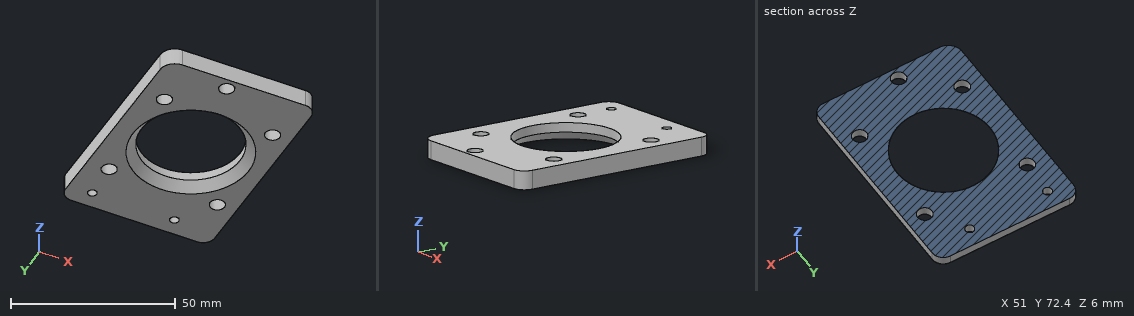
import cadquery as cq

width = 51.01
length = 72.37
thickness = 6.0
left_edge = -26.06
front_edge = -35.5
corner_radius = 4.0
front_left_corner_radius = 5.0

bore_diameter = 33.47
bore_chamfer = 3.0
large_hole_diameter = 4.9
small_hole_diameter = 2.9
mount_spacing = 36.95
front_hole_position = (-3.9, -31.6)
small_hole_y = 30.8
small_hole_left_x = -17.96
small_hole_spacing = 28.05


def make_plate():
    plate = cq.Workplane("XY").box(width, length, thickness, centered=False)
    plate = plate.translate((left_edge, front_edge, 0))
    plate = plate.edges("|Z").edges("<X and <Y").fillet(front_left_corner_radius)
    return plate.edges("|Z").edges(">X or >Y").fillet(corner_radius)


def drill(body, diameter, positions):
    cutter = cq.Workplane("XY").pushPoints(positions).circle(diameter / 2).extrude(thickness)
    return body.cut(cutter)


def countersink_bore(body):
    bore_radius = bore_diameter / 2
    cone = cq.Solid.makeCone(bore_radius + bore_chamfer, bore_radius, bore_chamfer)
    return body.cut(cq.Workplane(cone))


half_spacing = mount_spacing / 2
mount_positions = [(x, y) for x in (-half_spacing, half_spacing) for y in (-half_spacing, half_spacing)]
small_hole_positions = [
    (small_hole_left_x, small_hole_y),
    (small_hole_left_x + small_hole_spacing, small_hole_y),
]

result = make_plate()
result = drill(result, bore_diameter, [(0, 0)])
result = countersink_bore(result)
result = drill(result, large_hole_diameter, mount_positions + [front_hole_position])
result = drill(result, small_hole_diameter, small_hole_positions)